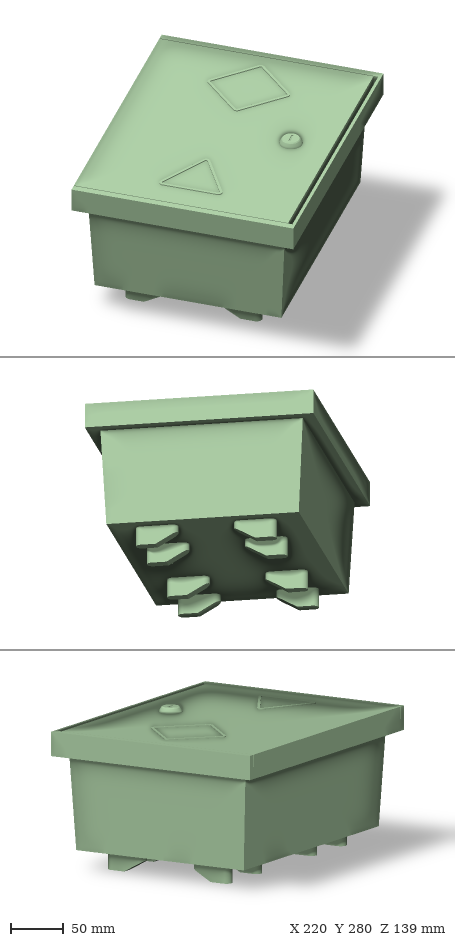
import cadquery as cq
import math

length_x = 220.0
width_y = 280.0
total_height = 139.0

foot_height = 18.2
flange_height = 23.5
lock_height = 5.3
flange_top = total_height - lock_height
flange_bottom = flange_top - flange_height
flange_overhang = 12.5
draft_inset = 4.8

recess_depth = 11.8
side_wall = 6.7
far_wall = 3.0
side_gap = 0.8
far_gap = 4.5
recess_floor = flange_top - recess_depth

pin_diameter = 5.0
pin_inset_x = 5.3
pin_inset_z = 5.0
pin_x = -length_x / 2 + pin_inset_x
pin_z = flange_top - pin_inset_z

foot_width = 11.2
foot_outer_x = 67.8
foot_inner_x = 27.0
foot_slope_x = 48.0
foot_slope_rise = 11.8
foot_row_y = [-104.0, -50.0, 50.0, 104.0]

label_x = -3.5
frame_height = 1.0
frame_width = 2.5
frame_corner = 4.0
diamond_side = 60.0
diamond_y = 76.5
triangle_side = 68.0
triangle_base_y = -107.0

lock_x = 63.0
lock_base_diameter = 22.5
lock_shoulder_diameter = 18.0
lock_top_diameter = 16.0
lock_chamfer_height = 0.8
lock_bulge = 0.3
slot_length = 10.0
slot_width = 2.0
slot_depth = 0.8


def box_between(x_min, x_max, y_size, z_min, z_max):
    """Box spanning the given X and Z ranges, centred on Y = 0."""
    return (
        cq.Workplane("XY", origin=((x_min + x_max) / 2, 0, z_min))
        .rect(x_max - x_min, y_size)
        .extrude(z_max - z_min)
    )


def make_foot(side, y):
    """Round-ended foot under the floor, side = -1 or +1, its sole sloping up towards the centre."""
    foot_length = foot_outer_x - foot_inner_x
    foot_centre_x = side * (foot_outer_x + foot_inner_x) / 2
    blank = cq.Workplane("XY", origin=(foot_centre_x, y, 0)).slot2D(foot_length, foot_width).extrude(foot_height)
    slope = (
        cq.Workplane("XZ", origin=(0, y, 0))
        .moveTo(side * foot_slope_x, 0)
        .lineTo(side * foot_inner_x, foot_slope_rise)
        .lineTo(side * foot_inner_x, 0)
        .close()
        .extrude(foot_width / 2, both=True)
    )
    return blank.cut(slope)


def hinge_cylinder():
    """Hinge axis cylinder along the whole width of the case."""
    return (
        cq.Workplane("XZ", origin=(pin_x, 0, pin_z))
        .circle(pin_diameter / 2)
        .extrude(width_y / 2, both=True)
    )


def make_case():
    """Tapered tub with a flange, a recess for the door and the feet."""
    tub_x = length_x - 2 * flange_overhang
    tub_y = width_y - 2 * flange_overhang
    tub = (
        cq.Workplane("XY", origin=(0, 0, foot_height))
        .rect(tub_x - 2 * draft_inset, tub_y - 2 * draft_inset)
        .workplane(offset=flange_bottom - foot_height)
        .rect(tub_x, tub_y)
        .loft(ruled=True)
    )
    flange = box_between(-length_x / 2, length_x / 2, width_y, flange_bottom, flange_top)
    recess = box_between(
        -length_x / 2, length_x / 2 - far_wall, width_y - 2 * side_wall, recess_floor, flange_top
    )
    case = tub.union(flange).cut(recess).cut(hinge_cylinder())
    for side in (-1, 1):
        for y in foot_row_y:
            case = case.union(make_foot(side, y))
    return case


def make_frame(corners):
    """Raised frame on the door face along a closed outline, with rounded corners."""
    blank = cq.Workplane("XY", origin=(0, 0, flange_top)).polyline(corners).close().extrude(frame_height)
    blank = blank.edges("|Z").fillet(frame_corner)
    opening = blank.faces(">Z").wires().toPending().offset2D(-frame_width).extrude(-frame_height, combine=False)
    return blank.cut(opening)


def make_diamond_frame():
    """Square frame standing on its corner."""
    half_diagonal = diamond_side / math.sqrt(2)
    return make_frame([
        (label_x - half_diagonal, diamond_y),
        (label_x, diamond_y - half_diagonal),
        (label_x + half_diagonal, diamond_y),
        (label_x, diamond_y + half_diagonal),
    ])


def make_triangle_frame():
    """Equilateral triangle frame pointing to +Y."""
    triangle_rise = triangle_side * math.sqrt(3) / 2
    return make_frame([
        (label_x - triangle_side / 2, triangle_base_y),
        (label_x + triangle_side / 2, triangle_base_y),
        (label_x, triangle_base_y + triangle_rise),
    ])


def make_door():
    """Flat door in the recess, with the two label frames and the hinge bore."""
    panel = box_between(
        -length_x / 2,
        length_x / 2 - far_wall - far_gap,
        width_y - 2 * (side_wall + side_gap),
        recess_floor,
        flange_top,
    )
    door = panel.cut(hinge_cylinder())
    return door.union(make_diamond_frame()).union(make_triangle_frame())


def make_lock():
    """Round lock standing on the door, with a bowed side, a chamfered rim and a key slot."""
    base_radius = lock_base_diameter / 2
    shoulder_radius = lock_shoulder_diameter / 2
    shoulder_z = lock_height - lock_chamfer_height
    bow_point = ((base_radius + shoulder_radius) / 2 + lock_bulge, shoulder_z / 2)
    body = (
        cq.Workplane("XZ")
        .lineTo(base_radius, 0)
        .threePointArc(bow_point, (shoulder_radius, shoulder_z))
        .lineTo(lock_top_diameter / 2, lock_height)
        .lineTo(0, lock_height)
        .close()
        .revolve(360, (0, 0), (0, 1))
    )
    key_slot = (
        cq.Workplane("XY", origin=(0, 0, lock_height))
        .rect(slot_width, slot_length)
        .extrude(-slot_depth)
    )
    return body.cut(key_slot).translate((lock_x, 0, flange_top))


case = make_case()
door = make_door()
lock = make_lock()
hinge_pin = hinge_cylinder()

result = cq.Compound.makeCompound([case.val(), door.val(), lock.val(), hinge_pin.val()])